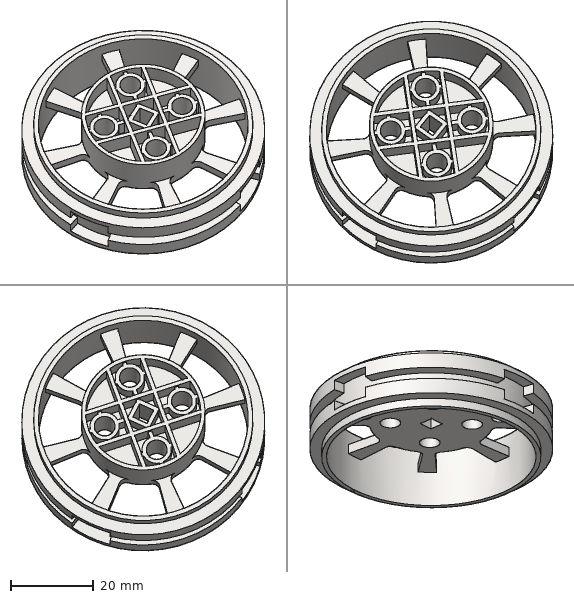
import cadquery as cq
import math

rim_height = 15.15
rim_bore_radius = 25.4
rim_radius = 26.6
flange_radius = 29.5
flange_end_gap = 2.1
groove_width = 3.0
notch_height = 8.1
notch_angle = 20.0
notch_count = 4

hub_radius = 15.0
hub_top = 19.1
hub_height = 10.05
hub_bottom = hub_top - hub_height
pocket_depth = 4.7
wall = 1.0
pocket_radius = hub_radius - wall
pocket_floor = hub_top - pocket_depth

collar_drop = 0.8
collar_height = pocket_depth - collar_drop
grid_offset = 4.4
hole_offset = 7.0
hole_count = 4
hole_diameter = 5.0
collar_diameter = 7.1
axle_side = 3.8
axle_collar_side = 5.9

spoke_count = 8
spoke_thickness = 2.5
spoke_root_width = 2.85
spoke_tip_width = 4.5
spoke_fillet = 1.75

pip_radius = 0.44
pip_drop = 0.3

overlap = 0.6


def cylinder(radius, bottom, height):
    return cq.Workplane("XY").workplane(offset=bottom).circle(radius).extrude(height)


def block(length, width, bottom, height):
    return cq.Workplane("XY").workplane(offset=bottom).rect(length, width).extrude(height)


def tube(outer_radius, inner_radius, bottom, height):
    ring = cq.Workplane("XY").workplane(offset=bottom)
    return ring.circle(outer_radius).circle(inner_radius).extrude(height)


def make_rim():
    middle = rim_height / 2
    flange_height = middle - groove_width / 2 - flange_end_gap
    flange_bore = (rim_bore_radius + rim_radius) / 2
    flanges = tube(flange_radius, flange_bore, flange_end_gap, flange_height)
    flanges = flanges.union(tube(flange_radius, flange_bore, middle + groove_width / 2, flange_height))
    reach = 1.2 * flange_radius
    half_width = reach * math.tan(math.radians(notch_angle / 2))
    wedge = (
        cq.Workplane("XY")
        .workplane(offset=middle - notch_height / 2)
        .polyline([(0, 0), (reach, -half_width), (reach, half_width)])
        .close()
        .extrude(notch_height)
    )
    for i in range(notch_count):
        flanges = flanges.cut(wedge.rotate((0, 0, 0), (0, 0, 1), i * 360 / notch_count))
    return tube(rim_radius, rim_bore_radius, 0, rim_height).union(flanges)


def make_hub_and_spokes():
    body = cylinder(hub_radius, hub_bottom, spoke_thickness)
    taper = (spoke_tip_width - spoke_root_width) / (rim_bore_radius - hub_radius) / 2
    start = hub_radius - overlap
    end = rim_bore_radius + overlap
    half_start = spoke_root_width / 2 - taper * overlap
    half_end = spoke_tip_width / 2 + taper * overlap
    spoke = (
        cq.Workplane("XY")
        .workplane(offset=hub_bottom)
        .polyline([(start, -half_start), (end, -half_end), (end, half_end), (start, half_start)])
        .close()
        .extrude(spoke_thickness)
    )
    for i in range(spoke_count):
        body = body.union(spoke.rotate((0, 0, 0), (0, 0, 1), i * 360 / spoke_count))
    roots = cq.selectors.BoxSelector(
        (-hub_radius - overlap, -hub_radius - overlap, 0),
        (hub_radius + overlap, hub_radius + overlap, hub_top),
    )
    body = body.edges("|Z").edges(roots).fillet(spoke_fillet)
    return body.union(cylinder(hub_radius, hub_bottom, hub_height))


def make_hub_inside():
    span = 2 * hub_radius
    cross_web = block(wall, 2 * grid_offset, pocket_floor, collar_height)
    inside = block(axle_collar_side, axle_collar_side, pocket_floor, collar_height)
    inside = inside.rotate((0, 0, 0), (0, 0, 1), 45)
    inside = inside.union(cross_web).union(cross_web.rotate((0, 0, 0), (0, 0, 1), 90))
    for side in (-grid_offset, grid_offset):
        inside = inside.union(block(span, wall, pocket_floor, pocket_depth).translate((0, side, 0)))
        inside = inside.union(block(wall, span, pocket_floor, pocket_depth).translate((side, 0, 0)))
    hole_distance = hole_offset * math.sqrt(2)
    collar = cylinder(collar_diameter / 2, pocket_floor, collar_height)
    radial_web = block(hub_radius - grid_offset, wall, pocket_floor, collar_height)
    radial_web = radial_web.translate(((hub_radius + grid_offset) / 2 - hole_distance, 0, 0))
    cell = collar.union(radial_web).union(cross_web).translate((hole_distance, 0, 0))
    for i in range(hole_count):
        inside = inside.union(cell.rotate((0, 0, 0), (0, 0, 1), i * 360 / hole_count))
    inside = inside.rotate((0, 0, 0), (0, 0, 1), 45)
    return inside.intersect(cylinder(pocket_radius + wall / 2, pocket_floor, pocket_depth))


def make_through_holes():
    holes = block(axle_side, axle_side, hub_bottom, hub_height)
    hole = cylinder(hole_diameter / 2, hub_bottom, hub_height).translate((hole_offset, hole_offset, 0))
    for i in range(hole_count):
        holes = holes.union(hole.rotate((0, 0, 0), (0, 0, 1), i * 360 / hole_count))
    return holes


def make_pip():
    sphere_radius = (pip_radius**2 + pip_drop**2) / (2 * pip_drop)
    y = (rim_bore_radius + rim_radius) / 2
    return cq.Workplane("XY").sphere(sphere_radius).translate((0, y, sphere_radius - pip_drop))


hub = make_hub_and_spokes().cut(cylinder(pocket_radius, pocket_floor, pocket_depth))
hub = hub.union(make_hub_inside()).cut(make_through_holes())
result = make_rim().union(hub).union(make_pip())